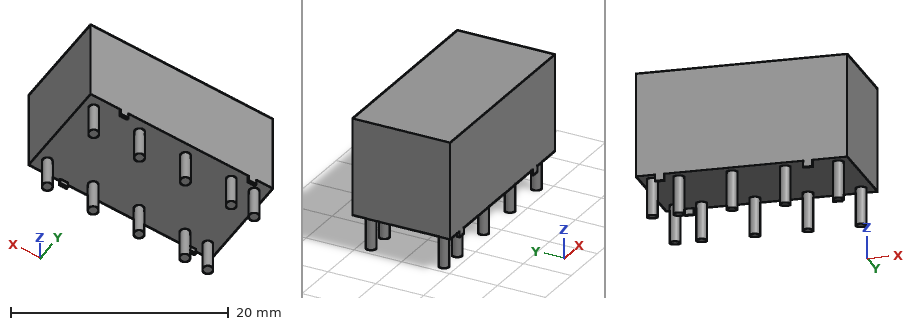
import cadquery as cq

case_length = 20.2
case_width = 10.21
case_height = 10.0

pin_diameter = 1.0
pin_length = 3.6
grid = 2.54
row_spacing = 3 * grid
pin_steps = (0, 1, 3, 5, 7)
first_pin_x = -pin_steps[-1] * grid / 2

tab_length = 0.85
tab_height = 0.6
tab_thickness = 0.25
tab_centers_x = (-7.85, 6.32)


def make_case():
    return cq.Workplane("XY").box(case_length, case_width, case_height, centered=(True, True, False))


def make_pins():
    centers = [
        (first_pin_x + step * grid, side * row_spacing / 2)
        for step in pin_steps
        for side in (-1, 1)
    ]
    return cq.Workplane("XY").pushPoints(centers).circle(pin_diameter / 2).extrude(-pin_length)


def make_tabs():
    center_y = (case_width - tab_thickness) / 2
    centers = [(x, side * center_y) for x in tab_centers_x for side in (-1, 1)]
    return cq.Workplane("XY").pushPoints(centers).rect(tab_length, tab_thickness).extrude(-tab_height)


result = make_case().union(make_pins()).union(make_tabs())